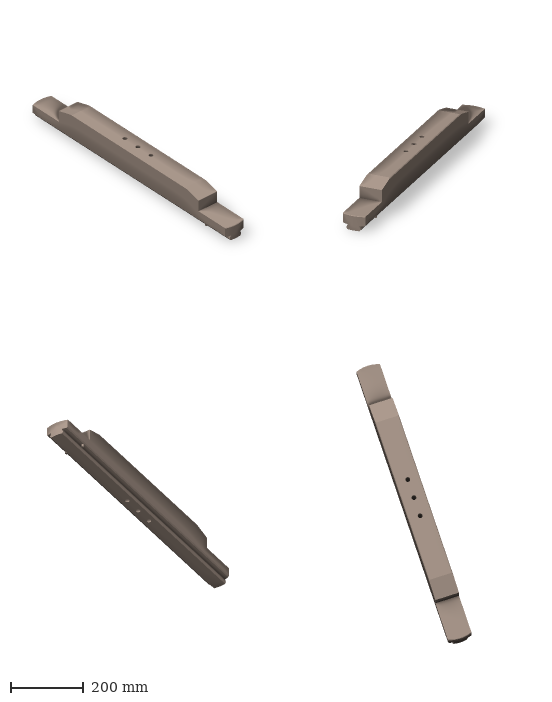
import cadquery as cq
import math

length = 812.55
width = 68.0
height = 95.0

shoulder_height = 44.5
raised_length = 580.0
flat_top_length = 468.0
ramp_drop = 15.0
end_radius = 95.0

foot_half_width = 18.3
flare_half_width = 21.5
flare_height = 4.8
neck_half_width = 17.6
underside_height = 15.5
overhang_chamfer = 3.0

flat_top_chamfer = 2.0
end_chamfer = 1.5

pin_diameter = 6.5
pin_bottom_height = 7.0
pin_x = 314.5
pin_y = 27.0

hole_diameter = 13.0
hole_pitch = 54.0
hole_rim_chamfer = 0.5
hole_count = 3


def cross_section_prism():
    """Full-length bar whose foot is a flared neck."""
    half_outline = [
        (foot_half_width, 0),
        (flare_half_width, flare_height),
        (neck_half_width, underside_height),
        (width / 2 - overhang_chamfer, underside_height),
        (width / 2, underside_height + overhang_chamfer),
        (width / 2, height),
    ]
    mirrored = [(-y, z) for y, z in reversed(half_outline)]
    return (
        cq.Workplane("YZ")
        .polyline(half_outline + mirrored)
        .close()
        .extrude(length / 2, both=True)
    )


def side_outline_prism():
    """Low ends, a raised middle and a ramp at each end of the flat top."""
    half_outline = [
        (length / 2, 0),
        (length / 2, shoulder_height),
        (raised_length / 2, shoulder_height),
        (raised_length / 2, height - ramp_drop),
        (flat_top_length / 2, height),
    ]
    mirrored = [(-x, z) for x, z in reversed(half_outline)]
    return (
        cq.Workplane("XZ")
        .polyline(half_outline + mirrored)
        .close()
        .extrude(width / 2, both=True)
    )


def plan_outline_prism():
    """Straight sides closed by a shallow arc at each end."""
    bulge = end_radius - math.sqrt(end_radius**2 - (width / 2) ** 2)
    end_x = length / 2
    corner_x = end_x - bulge
    corner_y = width / 2
    return (
        cq.Workplane("XY")
        .moveTo(-corner_x, -corner_y)
        .lineTo(corner_x, -corner_y)
        .threePointArc((end_x, 0), (corner_x, corner_y))
        .lineTo(-corner_x, corner_y)
        .threePointArc((-end_x, 0), (-corner_x, -corner_y))
        .close()
        .extrude(height)
    )


def stop_pins():
    """A vertical pin hanging from the underside of each overhang."""
    return (
        cq.Workplane("XY", origin=(0, 0, pin_bottom_height))
        .pushPoints([(pin_x, pin_y), (pin_x, -pin_y)])
        .circle(pin_diameter / 2)
        .extrude(underside_height - pin_bottom_height)
    )


def vertical_holes():
    """Row of through holes centred on the flat top, each with a chamfered upper rim."""
    radius = hole_diameter / 2
    half_profile = [
        (0, 0),
        (radius, 0),
        (radius, height - hole_rim_chamfer),
        (radius + hole_rim_chamfer, height),
        (0, height),
    ]
    hole = cq.Workplane("XZ").polyline(half_profile).close().revolve(360, (0, 0), (0, 1))
    centres = cq.Workplane("XY").rarray(hole_pitch, 1, hole_count, 1)
    return centres.eachpoint(lambda place: hole.val().located(place), combine=False)


def chamfer_top_edges(bar):
    """Break the long edges of the flat top and the upper edges of the rounded ends."""
    bar = bar.faces(">Z").edges("|X").chamfer(flat_top_chamfer)
    shoulder_zone = cq.selectors.BoxSelector(
        (-length, -width, shoulder_height - end_chamfer),
        (length, width, shoulder_height + end_chamfer),
    )
    return bar.edges(shoulder_zone).edges("%CIRCLE").chamfer(end_chamfer)


body = cross_section_prism().intersect(side_outline_prism()).intersect(plan_outline_prism())
result = chamfer_top_edges(body).union(stop_pins()).cut(vertical_holes())